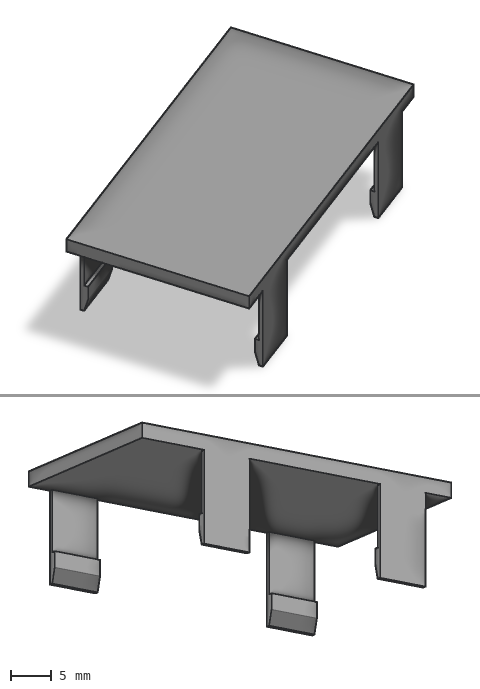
import cadquery as cq

width = 25.0
length = 45.7
height = 14.0
plate_thickness = 1.95

leg_width = 6.7
leg_thickness = 0.55
hook_thickness = 1.1
hook_height = 4.0
lead_in_height = 1.95

left_leg_positions = (10.35, -15.68)
right_leg_positions = (16.35, -15.68)

plate_bottom = height - plate_thickness


def snap_leg(side, y_center):
    """Leg flush with the plate edge; side is -1 for -X and +1 for +X."""
    outer = side * width / 2
    inner = outer - side * leg_thickness
    hook = outer - side * hook_thickness
    profile = [
        (outer, 0),
        (inner, 0),
        (hook, lead_in_height),
        (hook, hook_height),
        (inner, hook_height),
        (inner, height),
        (outer, height),
    ]
    return (
        cq.Workplane("XZ", origin=(0, y_center, 0))
        .polyline(profile)
        .close()
        .extrude(leg_width / 2, both=True)
    )


plate = (
    cq.Workplane("XY", origin=(0, 0, plate_bottom))
    .rect(width, length)
    .extrude(plate_thickness)
)

result = plate
for y_center in left_leg_positions:
    result = result.union(snap_leg(-1, y_center))
for y_center in right_leg_positions:
    result = result.union(snap_leg(1, y_center))